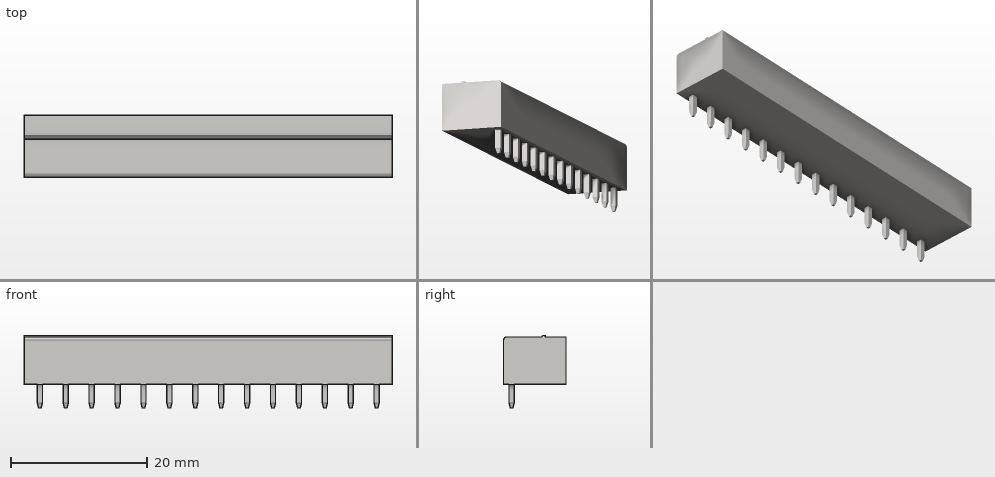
import cadquery as cq

pin_count = 14
pin_pitch = 3.81
pin_width = 0.8
pin_length = 3.5
pin_tip_length = 0.8
pin_tip_width = 0.4
pin_front_offset = 1.2

end_margin = 2.3
body_length = (pin_count - 1) * pin_pitch + 2 * end_margin
body_depth = 9.2
body_height = 7.0
front_edge_radius = 0.5

rib_height = 0.2
rib_base_width = 0.55
rib_top_width = 0.35
rib_back_offset = 3.05

front_y = -body_depth / 2
back_y = body_depth / 2


def make_body():
    """Plain block resting on Z = 0, with its upper front edge rounded."""
    block = cq.Workplane("XY").box(body_length, body_depth, body_height, centered=(True, True, False))
    return block.faces("<Y").edges(">Z").fillet(front_edge_radius)


def make_rib():
    """Low rib running the full length of the body, with its front side bevelled."""
    rib_back_y = back_y - rib_back_offset
    rib_top_z = body_height + rib_height
    section = (
        cq.Workplane("YZ", origin=(-body_length / 2, 0, 0))
        .moveTo(rib_back_y, body_height)
        .lineTo(rib_back_y, rib_top_z)
        .lineTo(rib_back_y - rib_top_width, rib_top_z)
        .lineTo(rib_back_y - rib_base_width, body_height)
        .close()
    )
    return section.extrude(body_length)


def make_pin(x):
    """Square pin hanging below the body, ending in a tapered tip."""
    shank_length = pin_length - pin_tip_length
    pin_y = front_y + pin_front_offset
    shank = cq.Workplane("XY", origin=(x, pin_y, 0)).rect(pin_width, pin_width).extrude(-shank_length)
    tip = (
        cq.Workplane("XY", origin=(x, pin_y, -shank_length))
        .rect(pin_width, pin_width)
        .workplane(offset=-pin_tip_length)
        .rect(pin_tip_width, pin_tip_width)
        .loft()
    )
    return shank.union(tip)


result = make_body().union(make_rib())
first_pin_x = -body_length / 2 + end_margin
for index in range(pin_count):
    result = result.union(make_pin(first_pin_x + index * pin_pitch))